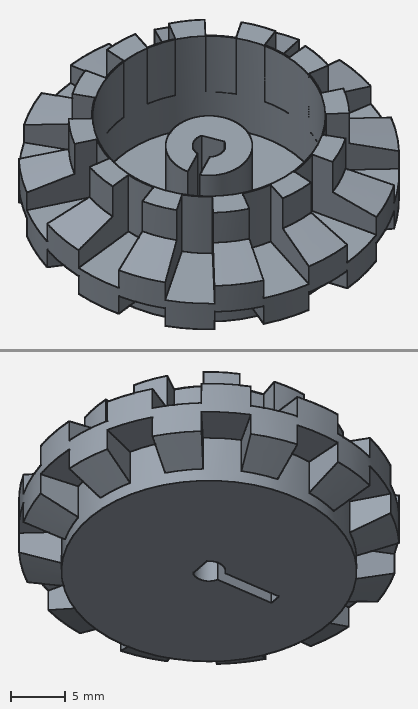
import cadquery as cq
import math

outer_radius = 17.5
height = 13.2

base_top = 1.35
floor_top = 1.5
lower_tooth_rim = 2.73
flange_bottom = 4.95
flange_top = 6.0
upper_tooth_rim = 8.25
upper_tooth_shoulder = 9.37
hub_top = 9.45

base_radius = 13.57
collar_radius = 12.9
sleeve_radius = 21.6 / 2
bore_radius = 21.4 / 2
hub_radius = 4.0

shaft_radius = 1.5
shaft_flat_offset = 1.0
slot_width = 1.2
slot_end = 7.45

tooth_count = 12
tooth_pitch = 360.0 / tooth_count
gap_angle = tooth_pitch / 2
gap_overrun = 0.35


def disc(radius, bottom, top):
    """Solid cylinder about Z between two levels."""
    return cq.Workplane("XY").workplane(offset=bottom).circle(radius).extrude(top - bottom)


def cut_gaps(body, inner_radius, bottom, top, first_angle):
    """Cut one wedge-shaped gap per tooth outside inner_radius; the first is centred on first_angle."""
    reach = outer_radius + gap_overrun
    section = [(inner_radius, bottom), (reach, bottom), (reach, top), (inner_radius, top)]
    gap = cq.Workplane("XZ").polyline(section).close().revolve(gap_angle, (0, 0), (0, 1))
    sweep_sign = math.copysign(1, gap.val().Center().y)
    for index in range(tooth_count):
        angle = first_angle + index * tooth_pitch - sweep_sign * gap_angle / 2
        body = body.cut(gap.rotate((0, 0, 0), (0, 0, 1), angle))
    return body


def shaft_cutter():
    """Round hole with a flat on its +Y side, plus a key slot running toward -Y."""
    flat_block = (
        cq.Workplane("XY")
        .box(2 * shaft_radius, shaft_radius + shaft_flat_offset, height, centered=(True, False, False))
        .translate((0, -shaft_radius, 0))
    )
    slot = (
        cq.Workplane("XY")
        .box(slot_width, slot_end, height, centered=(True, False, False))
        .translate((0, -slot_end, 0))
    )
    return disc(shaft_radius, 0, height).intersect(flat_block).union(slot)


blank_profile = [
    (0, base_top),
    (base_radius, base_top),
    (outer_radius, lower_tooth_rim),
    (outer_radius, upper_tooth_rim),
    (collar_radius, upper_tooth_shoulder),
    (collar_radius, height),
    (0, height),
]
body = cq.Workplane("XZ").polyline(blank_profile).close().revolve(360, (0, 0), (0, 1))

body = cut_gaps(body, sleeve_radius, flange_top, height, tooth_pitch / 2)
body = cut_gaps(body, hub_radius, base_top, flange_bottom, 0)

body = body.union(disc(base_radius, 0, flange_bottom))

body = body.cut(disc(bore_radius, floor_top, height))
body = body.union(disc(hub_radius, floor_top, hub_top))

result = cq.Workplane(body.cut(shaft_cutter()).solids().val())